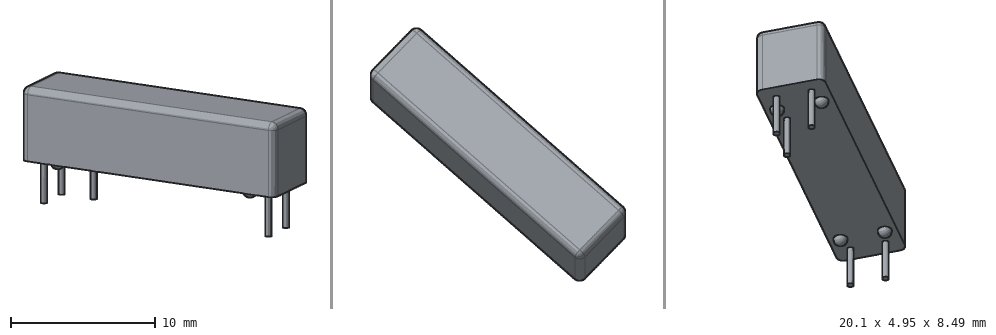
import cadquery as cq

body_length = 20.07
body_width = 4.95
body_height = 5.32
edge_radius = 0.5

pin_diameter = 0.46
pin_length = 3.17
pin_pitch = 2.539
grid_steps_along = 7
pin_x = grid_steps_along * pin_pitch / 2
pin_y = pin_pitch / 2
pin_places = [
    (-pin_x, -pin_y),
    (-pin_x, pin_y),
    (-pin_x + pin_pitch, pin_y),
    (pin_x, -pin_y),
    (pin_x, pin_y),
]

standoff_radius = 0.5
standoff_x = pin_x - pin_pitch / 2
standoff_y = 1.6


def make_body():
    """Block with rounded upright edges and a rounded top rim."""
    block = cq.Workplane("XY").box(body_length, body_width, body_height, centered=(True, True, False))
    return block.edges("|Z or >Z").fillet(edge_radius)


def make_pins():
    """Plain round pins hanging from the underside."""
    return cq.Workplane("XY").pushPoints(pin_places).circle(pin_diameter / 2).extrude(-pin_length)


def make_standoffs():
    """Four balls sunk to half their height in the underside."""
    places = cq.Workplane("XY").rect(2 * standoff_x, 2 * standoff_y, forConstruction=True).vertices()
    return places.sphere(standoff_radius)


result = make_body().union(make_pins()).union(make_standoffs())